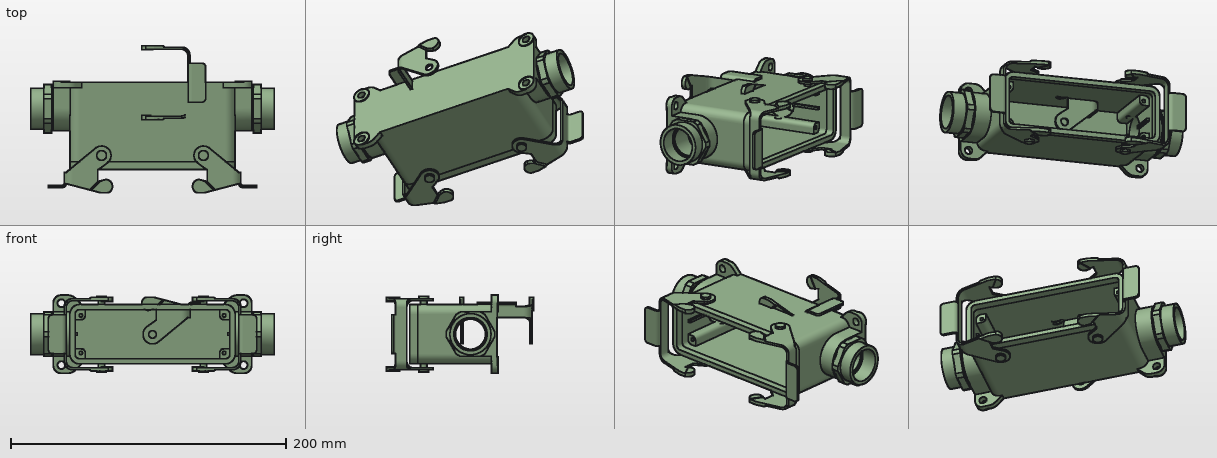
import cadquery as cq
import math


HOUSING_LENGTH = 120.0
HOUSING_HEIGHT = 43.2
RIM_HEIGHT = 5.8
TOTAL_DEPTH = 63.5
HOUSING_DEPTH = TOTAL_DEPTH - RIM_HEIGHT
WALL = 3.7
OUTER_CORNER_RADIUS = 7.0
CAVITY_CORNER_RADIUS = OUTER_CORNER_RADIUS - WALL
CAVITY_LENGTH = HOUSING_LENGTH - 2 * WALL
CAVITY_HEIGHT = HOUSING_HEIGHT - 2 * WALL

POST_SIZE = 7.5
POST_CORNER_RADIUS = 3.2
POST_END_Y = -51.3
POST_HOLE_DIAMETER = 2.5
POST_HOLE_INSET = 4.2
POST_HOLE_DEPTH = 10.6
RIB_SIZE = 1.8

TOTAL_HEIGHT = 57.0
FLANGE_THICKNESS = 4.0
PAD_DIAMETER = 12.0
PAD_HEIGHT = 0.7
EAR_RADIUS = PAD_DIAMETER / 2
EAR_HOLE_DIAMETER = 5.5
EAR_HOLE_X = 66.2
EAR_INNER_X = 61.6
EAR_INNER_RADIUS = 7.8
EAR_Z = TOTAL_HEIGHT / 2 - EAR_RADIUS
FLANGE_END_X = EAR_HOLE_X + EAR_RADIUS

ENTRY_Y = -19.3
ENTRY_BORE_DIAMETER = 21.8
TUBE_BORE_DIAMETER = 24.2
SEAT_BORE_DIAMETER = 23.5
COLLAR_DIAMETER = 31.0
COLLAR_LENGTH = 1.0
HEX_FLATS = 32.4
BOSS_RADIUS = HEX_FLATS / 2
HEX_CORNER_DIAMETER = 35.4
HEX_LENGTH = 5.7
TUBE_DIAMETER = 30.0
TOTAL_LENGTH = 177.0
FITTING_LENGTH = TOTAL_LENGTH / 2 - FLANGE_END_X
TUBE_BORE_DEPTH = 12.4
SEAT_BORE_DEPTH = TUBE_BORE_DEPTH + 1.2

SPARE_LATCH_Y = -0.4
SPARE_LATCH_Z = -0.2

PIVOT_X = 37.0
PIVOT_Y = -53.3
PIN_DIAMETER = 5.0
PIN_HEAD_DIAMETER = 7.0
PIN_END_Z = 27.6

SHEET = 1.6
ARM_OUTER_W = 25.8
ARM_INNER_W = ARM_OUTER_W - SHEET
ARM_HEAD_RADIUS = 6.9
PIVOT_HOLE_DIAMETER = 5.5
WEB_OUTER_U = 27.3
WEB_START_V = 12.2
WEB_END_V = 20.2
BEND_RADIUS = 6.2
HOOK_END_V = 27.0
STRIP_HALF_V = HOOK_END_V + 1.8
HOOK_FLAT_START_U = 1.0
HOOK_FLAT_END = (-5.0, HOOK_END_V)
HOOK_TIP = (-8.0, 22.3)
HOOK_ARC_END = (-3.2, 17.3)
HOOK_OUTER_RISE = 1.0
HOOK_INNER_RISE = 0.5
THROAT_U = 2.7
THROAT_START_V = 10.5
THROAT_END_V = 19.0
INNER_PAD_SHARE = 0.6
INNER_PAD_START = tuple(
    end + INNER_PAD_SHARE * (throat - end) for end, throat in zip(HOOK_ARC_END, (THROAT_U, THROAT_END_V))
)
TAB_BEND_RADIUS = 1.6
TAB_END_U = 38.5
TAB_WIDTH = 28.3
TAB_CORNER_RADIUS = 2.7


def tangent_point(point, radius, side):
    """Where a line from the point touches a circle around the origin; side +1 is counterclockwise."""
    distance = math.hypot(*point)
    angle = math.atan2(point[1], point[0]) + side * math.acos(radius / distance)
    return radius * math.cos(angle), radius * math.sin(angle)



def arm_outline():
    """Side outline of the latch in u and v: pivot head, edge to the web, and hook."""
    web_corner = (WEB_OUTER_U - SHEET, WEB_START_V)
    throat_corner = (THROAT_U, THROAT_START_V)
    head_start = tangent_point(web_corner, ARM_HEAD_RADIUS, -1)
    return (
        cq.Workplane("XY")
        .moveTo(*head_start)
        .lineTo(*web_corner)
        .lineTo(WEB_OUTER_U, WEB_START_V)
        .lineTo(WEB_OUTER_U, WEB_END_V)
        .lineTo(HOOK_FLAT_START_U, HOOK_END_V)
        .lineTo(*HOOK_FLAT_END)
        .threePointArc(HOOK_TIP, HOOK_ARC_END)
        .lineTo(THROAT_U, THROAT_END_V)
        .lineTo(*throat_corner)
        .lineTo(*tangent_point(throat_corner, ARM_HEAD_RADIUS, 1))
        .threePointArc((-ARM_HEAD_RADIUS, 0), head_start)
        .close()
    )


def make_strip():
    """U-shaped strip of sheet: two arms joined by a web through rounded bends."""
    outer = (
        cq.Workplane("XY")
        .box(2 * WEB_OUTER_U, 2 * STRIP_HALF_V, 2 * ARM_OUTER_W)
        .edges("|Y and >X")
        .fillet(BEND_RADIUS)
    )
    inner = (
        cq.Workplane("XY")
        .box(2 * (WEB_OUTER_U - SHEET), 2 * STRIP_HALF_V, 2 * ARM_INNER_W)
        .edges("|Y and >X")
        .fillet(BEND_RADIUS - SHEET)
    )
    open_end = cq.Workplane("XY").box(WEB_OUTER_U, 2 * STRIP_HALF_V, 2 * ARM_INNER_W)
    return outer.cut(inner).cut(open_end.translate((-WEB_OUTER_U, 0, 0)))


def make_outer_hook_pad():
    """Thickened hook on the outer face, with a ramp along the slanted line where it starts."""
    edge_slope = (WEB_END_V - HOOK_END_V) / (WEB_OUTER_U - HOOK_FLAT_START_U)
    slant_length = (HOOK_END_V - THROAT_END_V - edge_slope * (HOOK_FLAT_START_U - THROAT_U)) / (1 - edge_slope)
    return (
        cq.Workplane("XY", origin=(0, 0, ARM_INNER_W))
        .moveTo(THROAT_U, THROAT_END_V)
        .lineTo(THROAT_U + slant_length, THROAT_END_V + slant_length)
        .lineTo(HOOK_FLAT_START_U, HOOK_END_V)
        .lineTo(*HOOK_FLAT_END)
        .threePointArc(HOOK_TIP, HOOK_ARC_END)
        .close()
        .extrude(SHEET + HOOK_OUTER_RISE)
        .faces(cq.selectors.DirectionMinMaxSelector(cq.Vector(1, -1, 0)))
        .edges(">Z")
        .chamfer(HOOK_OUTER_RISE)
    )


def make_inner_hook_pad():
    """Thin pad on the inner face, covering the rounded tip of the hook."""
    return (
        cq.Workplane("XY", origin=(0, 0, ARM_INNER_W - HOOK_INNER_RISE))
        .moveTo(*HOOK_FLAT_END)
        .threePointArc(HOOK_TIP, HOOK_ARC_END)
        .lineTo(*INNER_PAD_START)
        .close()
        .extrude(HOOK_INNER_RISE + SHEET)
    )


def make_tab():
    """Finger tab bent outward from the edge of the web."""
    bend_u = WEB_OUTER_U + TAB_BEND_RADIUS
    outer_radius = TAB_BEND_RADIUS + SHEET
    bend_inner = TAB_BEND_RADIUS * math.sqrt(0.5)
    bend_outer = outer_radius * math.sqrt(0.5)
    return (
        cq.Workplane("XY")
        .moveTo(bend_u - outer_radius, WEB_END_V)
        .threePointArc((bend_u - bend_outer, WEB_END_V + bend_outer), (bend_u, WEB_END_V + outer_radius))
        .lineTo(TAB_END_U, WEB_END_V + outer_radius)
        .lineTo(TAB_END_U, WEB_END_V + TAB_BEND_RADIUS)
        .lineTo(bend_u, WEB_END_V + TAB_BEND_RADIUS)
        .threePointArc((bend_u - bend_inner, WEB_END_V + bend_inner), (WEB_OUTER_U, WEB_END_V))
        .close()
        .extrude(TAB_WIDTH / 2, both=True)
        .edges("|Y and >X")
        .fillet(TAB_CORNER_RADIUS)
    )


def make_latch():
    """One bent-sheet latch with its pivot axis on the Z axis."""
    latch = make_strip().intersect(arm_outline().extrude(ARM_OUTER_W, both=True))
    for pad in (make_outer_hook_pad(), make_inner_hook_pad()):
        latch = latch.union(pad).union(pad.mirror("XY"))
    latch = latch.union(make_tab())
    pivot_hole = cq.Workplane("XY").circle(PIVOT_HOLE_DIAMETER / 2).extrude(ARM_OUTER_W, both=True)
    return latch.cut(pivot_hole)



def make_block(length, height, depth, corner_radius):
    """Rounded block from the mounting face toward the mouth."""
    return (
        cq.Workplane("XZ")
        .rect(length, height)
        .extrude(depth)
        .edges("|Y")
        .fillet(corner_radius)
    )


def inner_bar(x, z, size):
    """Square bar standing on the cavity floor, as tall as the screw posts."""
    return cq.Workplane("XZ").center(x, z).rect(size, size).extrude(-POST_END_Y)


def make_cavity():
    """Space inside the shell, open at the mouth, less the screw posts and the key ribs."""
    cavity = make_block(CAVITY_LENGTH, CAVITY_HEIGHT, HOUSING_DEPTH, CAVITY_CORNER_RADIUS)
    cavity = cavity.cut(cq.Workplane("XZ").rect(CAVITY_LENGTH, CAVITY_HEIGHT).extrude(WALL))
    for side_x in (-1, 1):
        rib_x = side_x * (CAVITY_LENGTH - RIB_SIZE) / 2
        cavity = cavity.cut(inner_bar(rib_x, 0, RIB_SIZE))
        for side_z in (-1, 1):
            post_x = side_x * (CAVITY_LENGTH - POST_SIZE) / 2
            post_z = side_z * (CAVITY_HEIGHT - POST_SIZE) / 2
            post = inner_bar(post_x, post_z, POST_SIZE)
            free_edge = ("<X" if side_x > 0 else ">X") + " and " + ("<Z" if side_z > 0 else ">Z")
            cavity = cavity.cut(post.edges("|Y").edges(free_edge).fillet(POST_CORNER_RADIUS))
    return cavity


def make_flange():
    """Mounting plate on the +X end, from the lower ear to the upper ear, with its pads and holes."""
    top_z = EAR_Z + EAR_RADIUS
    wall_z = HOUSING_HEIGHT / 2
    outer_diagonal = EAR_RADIUS * math.sqrt(0.5)
    inner_center_z = top_z - EAR_INNER_RADIUS
    inner_diagonal = EAR_INNER_RADIUS * math.sqrt(0.5)
    half_angle = math.radians(22.5)
    slant_start = (EAR_INNER_X - inner_diagonal, inner_center_z + inner_diagonal)
    slant_end_x = slant_start[0] - (slant_start[1] - wall_z)
    upper = (
        cq.Workplane("XZ")
        .moveTo(slant_end_x, 0)
        .lineTo(FLANGE_END_X, 0)
        .lineTo(FLANGE_END_X, EAR_Z)
        .threePointArc((EAR_HOLE_X + outer_diagonal, EAR_Z + outer_diagonal), (EAR_HOLE_X, top_z))
        .lineTo(EAR_INNER_X, top_z)
        .threePointArc(
            (
                EAR_INNER_X - EAR_INNER_RADIUS * math.sin(half_angle),
                inner_center_z + EAR_INNER_RADIUS * math.cos(half_angle),
            ),
            slant_start,
        )
        .lineTo(slant_end_x, wall_z)
        .close()
        .extrude(FLANGE_THICKNESS)
    )
    flange = upper.union(upper.mirror("XY"))
    ears = [(EAR_HOLE_X, EAR_Z), (EAR_HOLE_X, -EAR_Z)]
    pads = (
        cq.Workplane("XZ", origin=(0, PAD_HEIGHT, 0))
        .pushPoints(ears)
        .circle(PAD_DIAMETER / 2)
        .extrude(FLANGE_THICKNESS)
    )
    holes = (
        cq.Workplane("XZ", origin=(0, PAD_HEIGHT, 0))
        .pushPoints(ears)
        .circle(EAR_HOLE_DIAMETER / 2)
        .extrude(PAD_HEIGHT + FLANGE_THICKNESS)
    )
    return flange.union(pads).cut(holes)


def make_entry_boss():
    """Cable entry boss on the +X end: a half round that runs straight back to the mounting face."""
    boss_start_x = HOUSING_LENGTH / 2 - WALL
    return (
        cq.Workplane("YZ", origin=(boss_start_x, 0, 0))
        .moveTo(0, -BOSS_RADIUS)
        .lineTo(ENTRY_Y, -BOSS_RADIUS)
        .threePointArc((ENTRY_Y - BOSS_RADIUS, 0), (ENTRY_Y, BOSS_RADIUS))
        .lineTo(0, BOSS_RADIUS)
        .close()
        .extrude(FLANGE_END_X - boss_start_x)
    )


def add_pivot_pins(housing):
    """Add the headed pins on the upper and lower walls that carry the latches."""
    wall_z = HOUSING_HEIGHT / 2 - WALL / 2
    for side_x in (-1, 1):
        axis = cq.Workplane("XY", origin=(side_x * PIVOT_X, PIVOT_Y, 0))
        shank = axis.workplane(offset=wall_z).circle(PIN_DIAMETER / 2).extrude(PIN_END_Z - wall_z)
        head = axis.workplane(offset=ARM_OUTER_W).circle(PIN_HEAD_DIAMETER / 2).extrude(PIN_END_Z - ARM_OUTER_W)
        pin = shank.union(head)
        housing = housing.union(pin).union(pin.mirror("XY"))
    return housing


def make_cable_fitting():
    """Hollow fitting on the boss at the +X end: collar, hexagon and tube."""
    axis = cq.Workplane("YZ", origin=(FLANGE_END_X, ENTRY_Y, 0))
    hexagon_axis = axis.workplane(offset=COLLAR_LENGTH)
    hexagon = (
        hexagon_axis.polygon(6, HEX_FLATS / math.cos(math.pi / 6))
        .extrude(HEX_LENGTH)
        .intersect(hexagon_axis.circle(HEX_CORNER_DIAMETER / 2).extrude(HEX_LENGTH))
    )
    collar = axis.circle(COLLAR_DIAMETER / 2).extrude(COLLAR_LENGTH)
    tube = axis.circle(TUBE_DIAMETER / 2).extrude(FITTING_LENGTH)
    fitting = tube.union(collar).union(hexagon)
    mouth = axis.workplane(offset=FITTING_LENGTH)
    for diameter, depth in (
        (TUBE_BORE_DIAMETER, TUBE_BORE_DEPTH),
        (SEAT_BORE_DIAMETER, SEAT_BORE_DEPTH),
        (ENTRY_BORE_DIAMETER, FITTING_LENGTH),
    ):
        fitting = fitting.cut(mouth.circle(diameter / 2).extrude(-depth))
    return fitting


def make_post_holes():
    """Blind screw holes in the ends of the four posts."""
    return (
        cq.Workplane("XZ", origin=(0, POST_END_Y, 0))
        .rect(CAVITY_LENGTH - 2 * POST_HOLE_INSET, CAVITY_HEIGHT - 2 * POST_HOLE_INSET, forConstruction=True)
        .vertices()
        .circle(POST_HOLE_DIAMETER / 2)
        .extrude(-POST_HOLE_DEPTH)
    )


def make_housing():
    """Housing with its flanges, cable entries, screw posts and pivot pins."""
    housing = make_block(HOUSING_LENGTH, HOUSING_HEIGHT, HOUSING_DEPTH, OUTER_CORNER_RADIUS)
    ends = make_flange().union(make_entry_boss())
    housing = housing.union(ends).union(ends.mirror("YZ"))
    entry_bore = (
        cq.Workplane("YZ", origin=(-FLANGE_END_X, ENTRY_Y, 0))
        .circle(ENTRY_BORE_DIAMETER / 2)
        .extrude(2 * FLANGE_END_X)
    )
    housing = housing.cut(make_cavity()).cut(entry_bore).cut(make_post_holes())
    fitting = make_cable_fitting()
    housing = housing.union(fitting).union(fitting.mirror("YZ"))
    return add_pivot_pins(housing)


def make_rim():
    """Rim frame on the mouth, with the same section as the housing walls."""
    opening = make_block(CAVITY_LENGTH, CAVITY_HEIGHT, RIM_HEIGHT, CAVITY_CORNER_RADIUS)
    rim = make_block(HOUSING_LENGTH, HOUSING_HEIGHT, RIM_HEIGHT, OUTER_CORNER_RADIUS).cut(opening)
    return rim.translate((0, -HOUSING_DEPTH, 0))



latches = []
for turn_axis, turn_angle, place in (
    ((1, 0, 0), 180, (PIVOT_X, PIVOT_Y, 0)),
    ((0, 0, 1), 180, (-PIVOT_X, PIVOT_Y, 0)),
    ((1, 0, 0), 90, (0, SPARE_LATCH_Y, SPARE_LATCH_Z)),
):
    latches.append(make_latch().rotate((0, 0, 0), turn_axis, turn_angle).translate(place))
spare_latch = latches[-1]

housing = make_housing().cut(spare_latch)
rim = make_rim()

result = cq.Compound.makeCompound([body.val() for body in (housing, rim, *latches)])